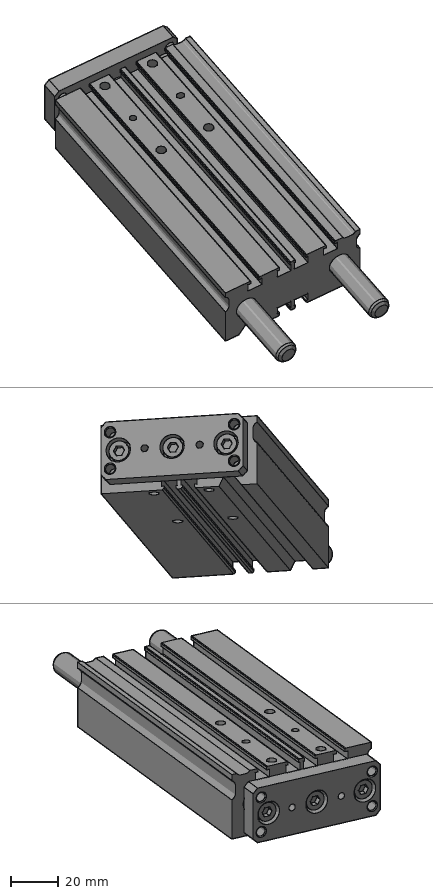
import cadquery as cq
import math


total_length = 179.0
plate_thickness = 7.9
plate_gap = 5.2
housing_length = 133.0
housing_front = plate_thickness + plate_gap

housing_width = 68.0
housing_height = 30.0
half_width = housing_width / 2
half_height = housing_height / 2

inner_mouth = (1.5, 6.6)
inner_undercut = (0.9, 7.7)
outer_mouth = (17.0, 21.1)
outer_undercut = (15.5, 22.5)
lip_thickness = 1.6
slot_depth = 5.4
top_lip_chamfer = 0.4
bottom_lip_chamfer = 0.7

top_groove_center = 28.5
top_groove_mouth = 6.5
top_groove_floor = 2.1
top_groove_depth = 1.0

bottom_groove_mouth = (17.4, 27.2)
bottom_groove_floor = (19.3, 24.0)
bottom_groove_depth = 4.0

side_groove_z = 7.7
side_groove_mouth = 9.0
side_groove_shoulder = 8.0
side_groove_floor = 3.5
side_groove_step = 0.7
side_groove_depth = 1.8

hole_row_y = 12.0
mount_hole_x = (17.7, 61.8)
mount_hole_diameter = 4.3
pin_hole_x = 39.7
pin_hole_diameter = 3.0
pin_slot_length = 3.5
pin_hole_depth = 6.0

plate_width = 62.0
plate_height = 25.5
plate_chamfer = 2.1
corner_hole_y = 27.0
corner_hole_z = 8.0
corner_hole_diameter = 4.1
corner_hole_mouth = 5.0
plate_pin_y = 12.0
plate_pin_diameter = 3.0
counterbore_diameter = 10.5
counterbore_depth = 6.0

guide_rod_y = 23.5
guide_rod_diameter = 10.0
piston_rod_diameter = 8.0
piston_rod_end = housing_front + housing_length / 2
head_diameter = 8.6
head_recess = 1.3
neck_diameter = 5.0
socket_across_flats = 4.1
socket_depth = 2.7

taper_length = 1.0
first_taper_inset = 0.5
second_taper_inset = 1.3


def x_cylinder(diameter, x_start, x_end, y=0.0, z=0.0):
    plane = cq.Workplane("YZ", origin=(x_start, y, z))
    return plane.circle(diameter / 2).extrude(x_end - x_start)


def housing_bar(points):
    """Bar as long as the housing with the given (y, z) outline."""
    return cq.Workplane("YZ", origin=(housing_front, 0, 0)).polyline(points).close().extrude(housing_length)


def undercut_slot(mouth, undercut, side, face, chamfer):
    """Slot in the top (face = 1) or bottom (face = -1), with both mouth edges chamfered."""
    lip_level = half_height - lip_thickness
    floor_level = half_height - slot_depth
    section = [
        (mouth[0] - chamfer, half_height),
        (mouth[0], half_height - chamfer),
        (mouth[0], lip_level),
        (undercut[0], lip_level),
        (undercut[0], floor_level),
        (undercut[1], floor_level),
        (undercut[1], lip_level),
        (mouth[1], lip_level),
        (mouth[1], half_height - chamfer),
        (mouth[1] + chamfer, half_height),
    ]
    return housing_bar([(side * y, face * z) for y, z in section])


def concave_wall_middle(run, rise):
    """Middle of an arc that leaves a groove floor tangentially and ends `run` along and `rise` above it."""
    radius = (run**2 + rise**2) / (2 * rise)
    half_angle = math.asin(run / radius) / 2
    return radius * math.sin(half_angle), radius * (1 - math.cos(half_angle))


def top_groove():
    floor_level = half_height - top_groove_depth
    half_mouth = top_groove_mouth / 2
    half_floor = top_groove_floor / 2
    along, above = concave_wall_middle(half_mouth - half_floor, top_groove_depth)
    plane = cq.Workplane("YZ", origin=(housing_front, top_groove_center, 0))
    return (
        plane.moveTo(-half_mouth, half_height)
        .threePointArc((-half_floor - along, floor_level + above), (-half_floor, floor_level))
        .lineTo(half_floor, floor_level)
        .threePointArc((half_floor + along, floor_level + above), (half_mouth, half_height))
        .close()
        .extrude(housing_length)
    )


def bottom_groove():
    floor_level = bottom_groove_depth - half_height
    return housing_bar([
        (-bottom_groove_mouth[0], -half_height),
        (-bottom_groove_floor[0], floor_level),
        (-bottom_groove_floor[1], floor_level),
        (-bottom_groove_mouth[1], -half_height),
    ])


def side_groove(side):
    face_y = side * half_width
    step_y = side * (half_width - side_groove_step)
    floor_y = side * (half_width - side_groove_depth)
    half_mouth = side_groove_mouth / 2
    half_shoulder = side_groove_shoulder / 2
    half_floor = side_groove_floor / 2
    along, above = concave_wall_middle(half_shoulder - half_floor, side_groove_depth - side_groove_step)
    wall_y = floor_y + side * above
    return (
        cq.Workplane("YZ", origin=(housing_front, 0, side_groove_z))
        .moveTo(face_y, half_mouth)
        .lineTo(step_y, half_shoulder)
        .threePointArc((wall_y, half_floor + along), (floor_y, half_floor))
        .lineTo(floor_y, -half_floor)
        .threePointArc((wall_y, -half_floor - along), (step_y, -half_shoulder))
        .lineTo(face_y, -half_mouth)
        .close()
        .extrude(housing_length)
    )


def make_housing():
    body = cq.Workplane("XY").box(housing_length, housing_width, housing_height, centered=(False, True, True))
    body = body.translate((housing_front, 0, 0))

    for side in (1, -1):
        body = body.cut(undercut_slot(inner_mouth, inner_undercut, side, 1, top_lip_chamfer))
        body = body.cut(undercut_slot(outer_mouth, outer_undercut, side, 1, top_lip_chamfer))
        body = body.cut(undercut_slot(inner_mouth, inner_undercut, side, -1, bottom_lip_chamfer))
        body = body.cut(side_groove(side))
    body = body.cut(top_groove()).cut(bottom_groove())

    mount_points = [(x, y) for x in mount_hole_x for y in (-hole_row_y, hole_row_y)]
    mount_holes = cq.Workplane("XY", origin=(0, 0, -half_height)).pushPoints(mount_points)
    body = body.cut(mount_holes.circle(mount_hole_diameter / 2).extrude(housing_height))

    pin_floor = cq.Workplane("XY", origin=(pin_hole_x, 0, half_height - pin_hole_depth))
    body = body.cut(pin_floor.center(0, -hole_row_y).circle(pin_hole_diameter / 2).extrude(pin_hole_depth))
    pin_slot = pin_floor.center(0, hole_row_y).slot2D(pin_slot_length, pin_hole_diameter, 90)
    body = body.cut(pin_slot.extrude(pin_hole_depth))

    housing_back = housing_front + housing_length
    for y in (-guide_rod_y, guide_rod_y):
        body = body.cut(x_cylinder(guide_rod_diameter, housing_front, housing_back, y))
    return body.cut(x_cylinder(piston_rod_diameter, housing_front, piston_rod_end))


def make_plate():
    plate = cq.Workplane("XY").box(plate_thickness, plate_width, plate_height, centered=(False, True, True))
    plate = plate.edges("|X").chamfer(plate_chamfer)

    mouth_radius = corner_hole_mouth / 2
    hole_radius = corner_hole_diameter / 2
    countersink_depth = mouth_radius - hole_radius
    for y in (-corner_hole_y, corner_hole_y):
        for z in (-corner_hole_z, corner_hole_z):
            plate = plate.cut(x_cylinder(corner_hole_diameter, 0, plate_thickness, y, z))
            countersink = cq.Solid.makeCone(
                mouth_radius, hole_radius, countersink_depth, cq.Vector(0, y, z), cq.Vector(1, 0, 0)
            )
            plate = plate.cut(cq.Workplane(countersink))

    for y in (-plate_pin_y, plate_pin_y):
        plate = plate.cut(x_cylinder(plate_pin_diameter, 0, plate_thickness, y))

    for y in (-guide_rod_y, 0, guide_rod_y):
        plate = plate.cut(x_cylinder(counterbore_diameter, 0, counterbore_depth, y))
        plate = plate.cut(x_cylinder(neck_diameter, counterbore_depth, plate_thickness, y))
    return plate


def screw_end(y):
    """Screw head with a hexagonal socket, and the neck that joins it to a rod behind the plate."""
    head = x_cylinder(head_diameter, head_recess, counterbore_depth, y)
    neck = x_cylinder(neck_diameter, counterbore_depth, plate_thickness, y)
    socket_across_corners = socket_across_flats / math.cos(math.pi / 6)
    socket = cq.Workplane("YZ", origin=(head_recess, y, 0)).polygon(6, socket_across_corners)
    return head.cut(socket.extrude(socket_depth)).union(neck)


def make_guide_rod(y):
    radius = guide_rod_diameter / 2
    middle_radius = radius - first_taper_inset
    shaft = (
        cq.Workplane("XY")
        .moveTo(plate_thickness, 0)
        .lineTo(plate_thickness, radius)
        .lineTo(total_length - 2 * taper_length, radius)
        .lineTo(total_length - taper_length, middle_radius)
        .lineTo(total_length, middle_radius - second_taper_inset)
        .lineTo(total_length, 0)
        .close()
        .revolve(360, (0, 0, 0), (1, 0, 0))
    )
    return shaft.translate((0, y, 0)).union(screw_end(y))


def make_piston_rod():
    return x_cylinder(piston_rod_diameter, plate_thickness, piston_rod_end).union(screw_end(0))


housing = make_housing()
plate = make_plate()
piston_rod = make_piston_rod()
guide_rods = [make_guide_rod(y) for y in (-guide_rod_y, guide_rod_y)]

result = cq.Compound.makeCompound(
    [housing.val(), plate.val(), piston_rod.val(), *[rod.val() for rod in guide_rods]]
)